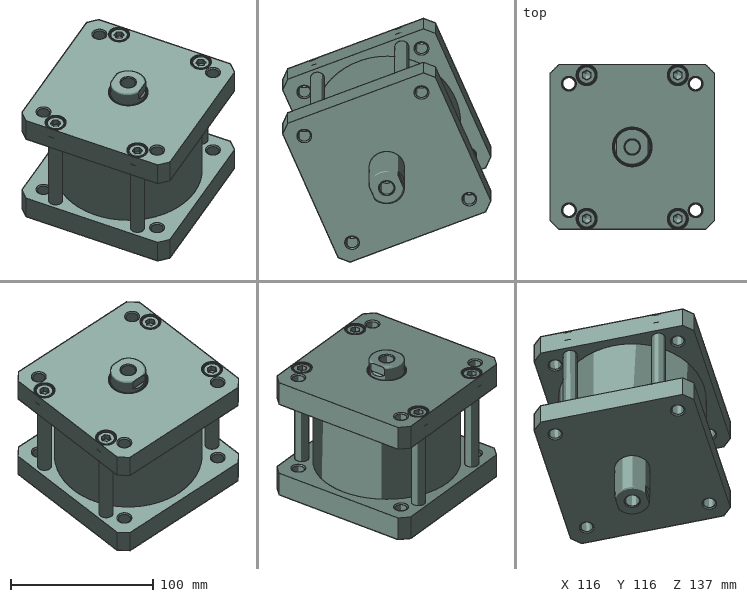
import cadquery as cq
import math

total_height = 137.0
plate_thickness = 18.0
shaft_top_reach = 9.6
barrel_height = 56.7

upper_plate_top = total_height - shaft_top_reach
upper_plate_bottom = upper_plate_top - plate_thickness
lower_plate_top = upper_plate_bottom - barrel_height
lower_plate_bottom = lower_plate_top - plate_thickness

plate_width = 116.0
corner_cut = 6.5
corner_hole_diameter = 8.6
corner_hole_mouth = 10.4
corner_hole_offset = 44.5

barrel_diameter = 104.1

shaft_diameter = 25.0
shaft_rounding = 1.2
flat_spacing = 22.0
flat_length = 6.6
flat_overcut = 1.4
bore_diameter = 10.1
bore_mouth = 11.5
bore_depth = 19.2
bore_tip_angle = 165.0

seal_diameter = 26.9
seal_seat_mouth = 28.0
seal_lip_mouth = 25.6
seal_recess_depth = 0.5
seal_height = 5.5

bolt_offset_x = 32.0
bolt_offset_y = 50.5
rod_diameter = 10.0
head_diameter = 13.0
head_height = 8.0
head_chamfer = 0.7
head_recess_depth = 0.5
socket_flats = 6.0
socket_depth = 4.0
socket_tip_angle = 118.0
counterbore_diameter = 14.0
counterbore_mouth = 14.8
rod_engagement = 13.7

head_top = upper_plate_top - head_recess_depth
head_bottom = head_top - head_height
seal_top = upper_plate_top - seal_recess_depth
seal_bottom = seal_top - seal_height
rod_bottom = lower_plate_top - rod_engagement

corner_points = [(x, y) for x in (-corner_hole_offset, corner_hole_offset)
                 for y in (-corner_hole_offset, corner_hole_offset)]
bolt_points = [(x, y) for x in (-bolt_offset_x, bolt_offset_x)
               for y in (-bolt_offset_y, bolt_offset_y)]


def cylinder(diameter, bottom, top, points=((0, 0),)):
    """Vertical cylinders of one diameter between two heights."""
    circles = cq.Workplane("XY").workplane(offset=bottom).pushPoints(points).circle(diameter / 2)
    return circles.extrude(top - bottom)


def mouth_cone(narrow_diameter, wide_diameter, height, point=(0, 0), direction=1):
    """45 degree countersink whose wide end lies at the given height and faces along direction."""
    depth = (wide_diameter - narrow_diameter) / 2
    return cq.Solid.makeCone(wide_diameter / 2, narrow_diameter / 2, depth,
                             cq.Vector(*point, height), cq.Vector(0, 0, -direction))


def drill_tip(diameter, tip_angle, height, point=(0, 0), direction=-1):
    """Cone that closes a blind hole, with its base at the given height and its tip along direction."""
    depth = diameter / 2 / math.tan(math.radians(tip_angle / 2))
    return cq.Solid.makeCone(diameter / 2, 0, depth, cq.Vector(*point, height), cq.Vector(0, 0, direction))


def make_plate(bottom):
    """Square plate with cut corners and four chamfered through holes."""
    top = bottom + plate_thickness
    plate = (cq.Workplane("XY").workplane(offset=bottom).rect(plate_width, plate_width)
             .extrude(plate_thickness).edges("|Z").chamfer(corner_cut))
    plate = plate.cut(cylinder(corner_hole_diameter, bottom, top, corner_points))
    for point in corner_points:
        plate = plate.cut(mouth_cone(corner_hole_diameter, corner_hole_mouth, top, point))
        plate = plate.cut(mouth_cone(corner_hole_diameter, corner_hole_mouth, bottom, point, -1))
    return plate


def make_upper_plate():
    """End plate with a shaft hole, a seat for the seal ring and counterbored holes for the tie bolts."""
    plate = make_plate(upper_plate_bottom)
    plate = plate.cut(cylinder(shaft_diameter, upper_plate_bottom, upper_plate_top))
    plate = plate.cut(cylinder(seal_diameter, seal_bottom, upper_plate_top))
    plate = plate.cut(mouth_cone(seal_diameter, seal_seat_mouth, upper_plate_top))
    plate = plate.cut(cylinder(rod_diameter, upper_plate_bottom, upper_plate_top, bolt_points))
    plate = plate.cut(cylinder(counterbore_diameter, head_bottom, upper_plate_top, bolt_points))
    for point in bolt_points:
        plate = plate.cut(mouth_cone(counterbore_diameter, counterbore_mouth, upper_plate_top, point))
    return plate


def make_lower_plate():
    """End plate with a fitted hole for the shaft and blind holes for the tie bolts."""
    plate = make_plate(lower_plate_bottom)
    plate = plate.cut(cylinder(shaft_diameter, lower_plate_bottom, lower_plate_top))
    return plate.cut(cylinder(rod_diameter, rod_bottom, lower_plate_top, bolt_points))


def make_barrel():
    """Cylinder between the plates, with a fitted hole for the shaft."""
    barrel = cylinder(barrel_diameter, lower_plate_top, upper_plate_bottom)
    return barrel.cut(cylinder(shaft_diameter, lower_plate_top, upper_plate_bottom))


def make_seal_ring():
    """Ring that fills the gap around the shaft, with its bore chamfered at the top."""
    ring = cylinder(seal_diameter, seal_bottom, seal_top).cut(cylinder(shaft_diameter, seal_bottom, seal_top))
    return ring.cut(mouth_cone(shaft_diameter, seal_lip_mouth, seal_top))


def make_flat_cutter(end, inward):
    """Pair of cutters for the wrench flats at one shaft end, closed by 45 degree run-outs."""
    flat_x = flat_spacing / 2
    outer_x = shaft_diameter / 2 + flat_overcut
    flat_end = end + inward * flat_length
    runout_end = flat_end + inward * (outer_x - flat_x)
    profile = [(flat_x, end), (outer_x, end), (outer_x, runout_end), (flat_x, flat_end)]
    one_side = cq.Workplane("XZ").polyline(profile).close().extrude(shaft_diameter / 2, both=True)
    return one_side.union(one_side.mirror("YZ"))


def make_shaft():
    """Through shaft with rounded, flatted and bored ends."""
    shaft = cylinder(shaft_diameter, 0, total_height).faces("<Z or >Z").edges().fillet(shaft_rounding)
    for end, inward in ((total_height, -1), (0, 1)):
        bore_end = end + inward * bore_depth
        shaft = shaft.cut(make_flat_cutter(end, inward))
        shaft = shaft.cut(cylinder(bore_diameter, min(end, bore_end), max(end, bore_end)))
        shaft = shaft.cut(drill_tip(bore_diameter, bore_tip_angle, bore_end, direction=inward))
        shaft = shaft.cut(mouth_cone(bore_diameter, bore_mouth, end, direction=-inward))
    return shaft


def make_tie_bolt(point):
    """Rod with a chamfered socket head at its upper end."""
    head = cylinder(head_diameter, head_bottom, head_top, [point]).faces(">Z").chamfer(head_chamfer)
    bolt = cylinder(rod_diameter, rod_bottom, head_bottom, [point]).union(head)
    socket_bottom = head_top - socket_depth
    socket_corners = socket_flats / math.cos(math.pi / 6)
    socket = (cq.Workplane("XY").workplane(offset=socket_bottom).center(*point)
              .transformed(rotate=(0, 0, 90)).polygon(6, socket_corners).extrude(socket_depth))
    return bolt.cut(socket).cut(drill_tip(socket_flats, socket_tip_angle, socket_bottom, point))


upper_plate = make_upper_plate()
lower_plate = make_lower_plate()
barrel = make_barrel()
seal_ring = make_seal_ring()
shaft = make_shaft()
tie_bolts = [make_tie_bolt(point) for point in bolt_points]

result = cq.Compound.makeCompound([
    upper_plate.val(),
    lower_plate.val(),
    barrel.val(),
    seal_ring.val(),
    shaft.val(),
    *[bolt.val() for bolt in tie_bolts],
])